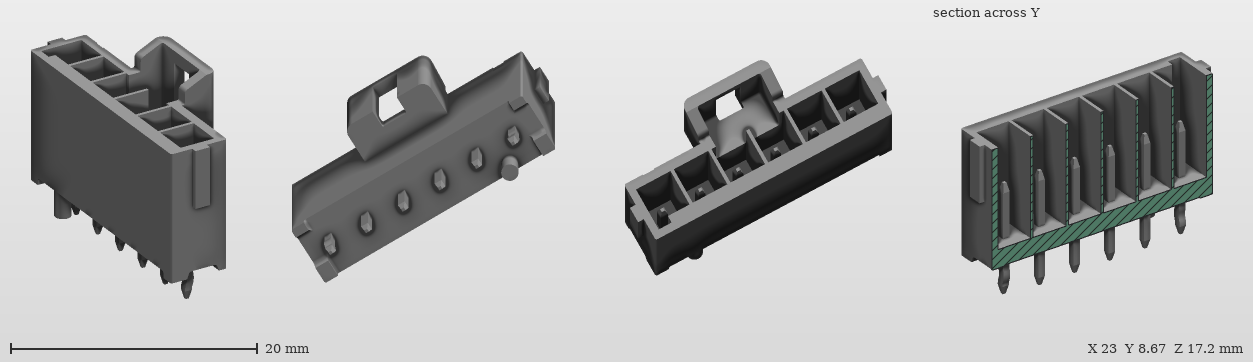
import cadquery as cq
import math


BODY_LENGTH = 21.96
BODY_DEPTH = 5.31
BODY_HEIGHT = 11.75
BODY_EDGE_RADIUS = 0.18

RIB_REACH_LEFT = 0.53
RIB_REACH_RIGHT = 0.5
RIB_WIDTH = 1.38
RIB_FRONT = 2.0
RIB_HEIGHT = 5.27
RIB_BOTTOM = BODY_HEIGHT - RIB_HEIGHT

PIN_COUNT = 6
PIN_PITCH = 3.5
CAVITY_SIZE = 3.2
CAVITY_FRONT = 1.29
CAVITY_BACK = CAVITY_FRONT + CAVITY_SIZE
CAVITY_FLOOR = 2.3
KEY_WIDTH = 1.2
KEY_DEPTH = 0.62

MARK_SIZE = 1.01
MARK_DEPTH = 0.07

FOOT_HEIGHT = 0.62
FOOT_LENGTH = 1.22
FOOT_GAP_RADIUS = 0.2
CHANNEL_FRONT = 1.52
CHANNEL_BACK = 4.55
CHANNEL_SIDE_ANGLE = 20.0
CHANNEL_RADIUS = 0.3

LATCH_WIDTH = 7.85
LATCH_BACK = 8.67
LATCH_TOP = 13.92
LATCH_BOTTOM = RIB_BOTTOM
LATCH_WALL = 1.0
LATCH_CORNER_RADIUS = 0.78
LATCH_FLOOR = 7.82
LATCH_INNER_RADIUS = 0.2
LATCH_INNER_WIDTH = LATCH_WIDTH - 2 * LATCH_WALL
LATCH_INNER_BACK = LATCH_BACK - LATCH_WALL
CHEEK_FRONT = 5.61
CHEEK_SLOPE_ANGLE = 25.0
CHEEK_NOSE_RADIUS = 0.5
CHEEK_ROOT_RADIUS = 0.15

WINDOW_WIDTH = 2.3
WINDOW_TOP = 12.79
WINDOW_FRONT = 7.13
WINDOW_CORNER_RADIUS = 0.14

PIN_SIZE = 0.65
PIN_Y = 2.95
PIN_TIP_SIZE = 0.28
PIN_TIP_LENGTH = 0.8
PIN_TOP = 7.35
PIN_BOTTOM = -3.25

KINK_START = -0.58
KINK_ENTRY_DROP = 0.3
KINK_BULGE_DROP = 0.83
KINK_EXIT_DROP = 0.37
KINK_TAIL = 0.14
KINK_ENTRY_ANGLE = 12.0
KINK_EXIT_ANGLE_LEFT = 19.0
KINK_EXIT_ANGLE_RIGHT = 23.0

PEG_DIAMETER = 1.4
PEG_X = -7.02
PEG_BOTTOM = -1.75


def block(x_min, x_max, y_min, y_max, z_min, z_max):
    """Axis-aligned box between the given limits."""
    corner = (x_min, y_min, z_min)
    return cq.Workplane("XY", origin=corner).box(x_max - x_min, y_max - y_min, z_max - z_min, centered=False)


def pin_x(index):
    return (index - (PIN_COUNT - 1) / 2) * PIN_PITCH


def housing():
    half = BODY_LENGTH / 2
    shell = block(-half, half, 0, BODY_DEPTH, 0, BODY_HEIGHT).edges("|Z").fillet(BODY_EDGE_RADIUS)
    rib_left = -half - RIB_REACH_LEFT
    rib_right = half + RIB_REACH_RIGHT
    ribs = block(rib_left, rib_right, RIB_FRONT, RIB_FRONT + RIB_WIDTH, RIB_BOTTOM, BODY_HEIGHT)
    return shell.union(ribs)


def foot_gaps():
    """Clearance across the front and back walls, and a flared channel through the end walls."""
    gap_half = BODY_LENGTH / 2 - FOOT_LENGTH
    gap = block(-gap_half, gap_half, 0, BODY_DEPTH, 0, FOOT_HEIGHT)
    gap = gap.edges("|Y and >Z").fillet(FOOT_GAP_RADIUS)

    flare = FOOT_HEIGHT * math.tan(math.radians(CHANNEL_SIDE_ANGLE))
    channel = (
        cq.Workplane("YZ")
        .polyline([
            (CHANNEL_FRONT, 0),
            (CHANNEL_FRONT + flare, FOOT_HEIGHT),
            (CHANNEL_BACK - flare, FOOT_HEIGHT),
            (CHANNEL_BACK, 0),
        ])
        .close()
        .extrude(BODY_LENGTH / 2, both=True)
        .edges("|X and >Z")
        .fillet(CHANNEL_RADIUS)
    )
    return gap.union(channel)


def latch_frame():
    """Solid latch block: side profile with sloping cheeks and rounded back corners."""
    slope_run = LATCH_INNER_BACK - CHEEK_FRONT
    nose_z = LATCH_TOP - slope_run * math.tan(math.radians(CHEEK_SLOPE_ANGLE))
    profile = (
        cq.Workplane("YZ")
        .polyline([
            (CAVITY_BACK, LATCH_BOTTOM),
            (LATCH_BACK, LATCH_BOTTOM),
            (LATCH_BACK, LATCH_TOP),
            (LATCH_INNER_BACK, LATCH_TOP),
            (CHEEK_FRONT, nose_z),
            (CHEEK_FRONT, BODY_HEIGHT),
            (CAVITY_BACK, BODY_HEIGHT),
        ])
        .close()
        .extrude(LATCH_WIDTH / 2, both=True)
    )
    nose = cq.selectors.NearestToPointSelector((0, CHEEK_FRONT, nose_z))
    root = cq.selectors.NearestToPointSelector((0, CHEEK_FRONT, BODY_HEIGHT))
    return (
        profile
        .edges("|Z and >Y").fillet(LATCH_CORNER_RADIUS)
        .edges(nose).fillet(CHEEK_NOSE_RADIUS)
        .edges(root).fillet(CHEEK_ROOT_RADIUS)
    )


def latch_opening():
    """Room behind the middle cavities, with rounded inner corners and floor edges."""
    half = LATCH_INNER_WIDTH / 2
    room = block(-half, half, CAVITY_BACK, LATCH_INNER_BACK, LATCH_FLOOR, LATCH_TOP)
    return room.edges("(|Z and >Y) or (<Z and (not <Y))").fillet(LATCH_INNER_RADIUS)


def latch_window():
    half = WINDOW_WIDTH / 2
    window = block(-half, half, WINDOW_FRONT, LATCH_BACK, LATCH_BOTTOM, WINDOW_TOP)
    return window.edges("|Z and <Y").fillet(WINDOW_CORNER_RADIUS)


def cavities():
    half = CAVITY_SIZE / 2
    key_left = pin_x(0) - half
    pockets = block(
        key_left, key_left + KEY_WIDTH, CAVITY_FRONT - KEY_DEPTH, CAVITY_FRONT, CAVITY_FLOOR, BODY_HEIGHT
    )
    for index in range(PIN_COUNT):
        x = pin_x(index)
        pocket = block(x - half, x + half, CAVITY_FRONT, CAVITY_BACK, CAVITY_FLOOR, BODY_HEIGHT)
        pockets = pockets.union(pocket)
    return pockets


def first_pin_mark():
    left = pin_x(0) - MARK_SIZE / 2
    return block(
        left, left + MARK_SIZE, BODY_DEPTH - MARK_DEPTH, BODY_DEPTH, BODY_HEIGHT - MARK_SIZE, BODY_HEIGHT
    )


def pin_tip(x, y, z_base, direction):
    """Tapered point starting at z_base and running up (direction 1) or down (direction -1)."""
    return (
        cq.Workplane("XY", origin=(x, y, z_base))
        .rect(PIN_SIZE, PIN_SIZE)
        .workplane(offset=direction * PIN_TIP_LENGTH)
        .rect(PIN_TIP_SIZE, PIN_TIP_SIZE)
        .loft(combine=True)
    )


def pin_shank(x, z_min):
    """Straight shank from z_min up to the pointed upper end."""
    half = PIN_SIZE / 2
    z_max = PIN_TOP - PIN_TIP_LENGTH
    shank = block(x - half, x + half, PIN_Y - half, PIN_Y + half, z_min, z_max)
    return shank.union(pin_tip(x, PIN_Y, z_max, 1))


def straight_pin(x):
    z_min = PIN_BOTTOM + PIN_TIP_LENGTH
    return pin_shank(x, z_min).union(pin_tip(x, PIN_Y, z_min, -1))


def kinked_pin(x, bulge_direction, exit_angle_degrees):
    """Pin whose tail bulges along Y through three tangent arcs and ends slightly off line."""
    entry_angle = math.radians(KINK_ENTRY_ANGLE)
    exit_angle = math.radians(exit_angle_degrees)

    entry_shift = KINK_ENTRY_DROP * math.tan(entry_angle / 2)
    bulge_shift = entry_shift + KINK_BULGE_DROP * math.tan((entry_angle - exit_angle) / 2)
    exit_shift = bulge_shift - KINK_EXIT_DROP * math.tan(exit_angle / 2)
    entry_z = KINK_START - KINK_ENTRY_DROP
    bulge_z = entry_z - KINK_BULGE_DROP
    exit_z = bulge_z - KINK_EXIT_DROP
    tail_y = PIN_Y + bulge_direction * exit_shift
    tail_z = exit_z - KINK_TAIL

    centre_line = (
        cq.Workplane("YZ", origin=(x, 0, 0))
        .moveTo(PIN_Y, 0)
        .lineTo(PIN_Y, KINK_START)
        .tangentArcPoint((PIN_Y + bulge_direction * entry_shift, entry_z), relative=False)
        .tangentArcPoint((PIN_Y + bulge_direction * bulge_shift, bulge_z), relative=False)
        .tangentArcPoint((tail_y, exit_z), relative=False)
        .lineTo(tail_y, tail_z)
    )
    tail = cq.Workplane("XY", origin=(x, PIN_Y, 0)).rect(PIN_SIZE, PIN_SIZE).sweep(centre_line)
    return pin_shank(x, 0).union(tail).union(pin_tip(x, tail_y, tail_z, -1))


def peg():
    radius = PEG_DIAMETER / 2
    return (
        cq.Workplane("XY", origin=(PEG_X, radius, PEG_BOTTOM))
        .circle(radius)
        .extrude(FOOT_HEIGHT - PEG_BOTTOM)
    )


result = (
    housing()
    .cut(foot_gaps())
    .union(latch_frame())
    .cut(latch_opening())
    .cut(latch_window())
    .cut(cavities())
    .cut(first_pin_mark())
    .union(peg())
)

for inner_index in range(1, PIN_COUNT - 1):
    result = result.union(straight_pin(pin_x(inner_index)))

result = result.union(kinked_pin(pin_x(0), -1, KINK_EXIT_ANGLE_LEFT))
result = result.union(kinked_pin(pin_x(PIN_COUNT - 1), 1, KINK_EXIT_ANGLE_RIGHT))